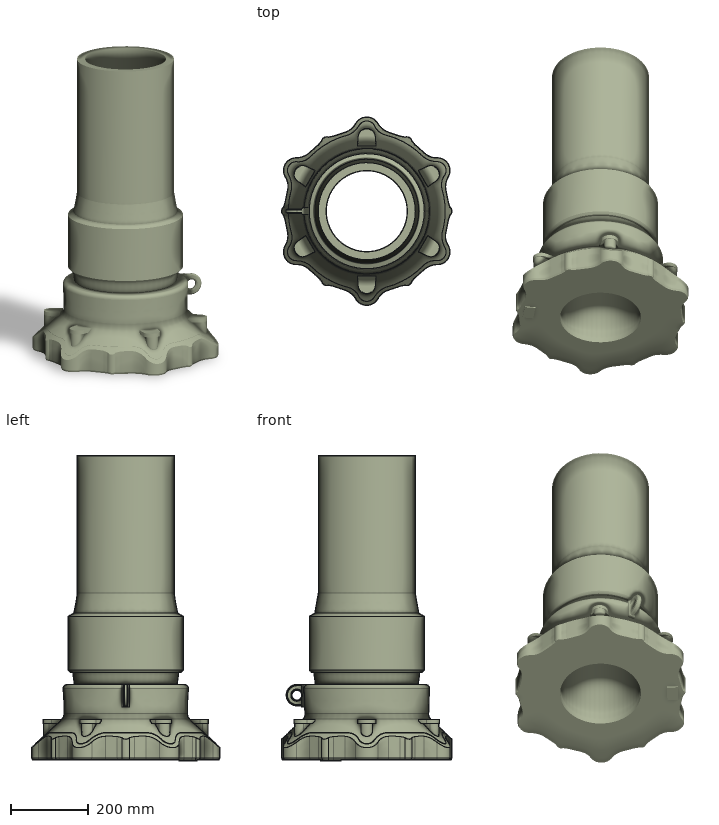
import cadquery as cq
import math

TOTAL_HEIGHT = 786.0
BORE_DIAMETER = 208.0
LOBE_COUNT = 6
LOBE_PITCH = 360.0 / LOBE_COUNT

PIPE_RADIUS = 250.0 / 2
PIPE_TAPER_TOP = 432.0
PIPE_TAPER_RADIUS = 268.0 / 2
PIPE_TAPER_BOTTOM = 380.5
SLEEVE_RADIUS = 296.5 / 2
SLEEVE_SHOULDER = 372.0
SLEEVE_CHAMFER_TOP = 233.5
SLEEVE_BOTTOM = 228.0
SLEEVE_CHAMFER = SLEEVE_CHAMFER_TOP - SLEEVE_BOTTOM
NECK_TOP_RADIUS = 137.0
NECK_BOTTOM_RADIUS = 266.0 / 2
NECK_CHAMFER = 1.5

COLLAR_TOP = 196.5
COLLAR_TOP_RADIUS = 162.0
COLLAR_ROUNDING = 10.0
COLLAR_BOTTOM = 122.0
COLLAR_BOTTOM_RADIUS = 159.5
FOOT_ARC_MIDDLE = (160.0, 114.0)

FLANGE_BOTTOM = 2.0
CONE_INNER_RADIUS = 164.0
CONE_INNER_Z = 108.0
TIP_RADIUS = 485.0 / 2
TIP_Z = 34.5
RIM_STEP = 1.0
RIM_CHAMFER_HEIGHT = 5.0
RIM_CHAMFER_WIDTH = 2.0

KNOB_RADIUS = 439.0 / 2
KNOB_EDGE = (215.0, 10.0)
FLAT_START = (211.0, 22.0)
FLAT_END = (204.5, 53.0)

LOBE_ROUNDING = 33.0
LOBE_CENTER = TIP_RADIUS - LOBE_ROUNDING
LOBE_HALF_WIDTH = 29.0
CAP_RADIUS = 202.0
CAP_LOBE_ROUNDING = 23.0
CAP_LOBE_HALF_WIDTH = 20.0
CAP_BLEND_START = 49.0

FINGER_TOP = 107.0
FINGER_HEAD_BOTTOM = 97.0
FINGER_HEAD_REACH = 213.0
FINGER_HEAD_HALF_WIDTH = 22.0
FINGER_HEAD_ROOT = 167.5
FINGER_HEAD_ROOT_HALF_WIDTH = 24.0
FINGER_STEM_REACH = 212.0
FINGER_STEM_HALF_WIDTH = 15.0
FINGER_STEM_ROOT = 157.0
FINGER_BASE_Z = 39.0

EYE_X = -180.0
EYE_RADIUS = 27.5
EYE_Z = COLLAR_TOP - EYE_RADIUS
EYE_HOLE_RADIUS = 12.5
EYE_THICKNESS = 12.0
EYE_CHAMFER = 3.0
EYE_FOOT_WIDTH = 18.0
EYE_FOOT_BOTTOM = 138.0
EYE_FOOT_X = -167.5
EYE_ROOT_X = -145.5

PAD_ANGLE = 240.0
PAD_RADIUS = 185.5
PAD_LENGTH = 27.5
PAD_WIDTH = 44.0


def turned(point, angle):
    """Rotate a point about the origin by an angle in degrees."""
    a = math.radians(angle)
    x, y = point
    return (x * math.cos(a) - y * math.sin(a), x * math.sin(a) + y * math.cos(a))


def mirrored(point):
    return (point[0], -point[1])


def point_on_lobe(center, rounding, half_width):
    """Point on the lobe arc at a given sideways distance from the lobe axis."""
    return (center + math.sqrt(rounding**2 - half_width**2), half_width)


def revolved(points):
    return cq.Workplane("XZ").polyline(points).close().revolve(360, (0, 0), (0, 1))


def pipe_and_sleeve():
    return revolved([
        (0, SLEEVE_BOTTOM),
        (SLEEVE_RADIUS - SLEEVE_CHAMFER, SLEEVE_BOTTOM),
        (SLEEVE_RADIUS, SLEEVE_CHAMFER_TOP),
        (SLEEVE_RADIUS, SLEEVE_SHOULDER),
        (PIPE_TAPER_RADIUS, PIPE_TAPER_BOTTOM),
        (PIPE_RADIUS, PIPE_TAPER_TOP),
        (PIPE_RADIUS, TOTAL_HEIGHT),
        (0, TOTAL_HEIGHT),
    ])


def neck():
    return revolved([
        (0, COLLAR_TOP),
        (NECK_BOTTOM_RADIUS - NECK_CHAMFER, COLLAR_TOP),
        (NECK_BOTTOM_RADIUS, COLLAR_TOP + NECK_CHAMFER),
        (NECK_TOP_RADIUS, SLEEVE_BOTTOM),
        (0, SLEEVE_BOTTOM),
    ])


def collar():
    profile = (
        cq.Workplane("XZ")
        .moveTo(0, FLANGE_BOTTOM)
        .lineTo(CONE_INNER_RADIUS, FLANGE_BOTTOM)
        .lineTo(CONE_INNER_RADIUS, CONE_INNER_Z)
        .threePointArc(FOOT_ARC_MIDDLE, (COLLAR_BOTTOM_RADIUS, COLLAR_BOTTOM))
        .lineTo(COLLAR_TOP_RADIUS, COLLAR_TOP)
        .lineTo(0, COLLAR_TOP)
        .close()
    )
    body = profile.revolve(360, (0, 0), (0, 1))
    return body.faces(">Z").edges().fillet(COLLAR_ROUNDING)


def cone(drop):
    """Conical body whose top face is the handwheel cone, lowered by drop."""
    return revolved([
        (0, FLANGE_BOTTOM),
        (TIP_RADIUS, FLANGE_BOTTOM),
        (TIP_RADIUS, TIP_Z - drop),
        (CONE_INNER_RADIUS, CONE_INNER_Z - drop),
        (0, CONE_INNER_Z - drop),
    ])


def rim_outline():
    """Six lobes with a small knob midway between each two of them."""
    lobe_edge = point_on_lobe(LOBE_CENTER, LOBE_ROUNDING, LOBE_HALF_WIDTH)
    outline = cq.Workplane("XY", origin=(0, 0, FLANGE_BOTTOM)).moveTo(*mirrored(KNOB_EDGE))
    for i in range(LOBE_COUNT):
        knob = i * LOBE_PITCH
        lobe = knob + LOBE_PITCH / 2
        next_knob = knob + LOBE_PITCH
        outline = (
            outline
            .threePointArc(turned((KNOB_RADIUS, 0), knob), turned(KNOB_EDGE, knob))
            .lineTo(*turned(FLAT_START, knob))
            .lineTo(*turned(FLAT_END, knob))
            .tangentArcPoint(turned(mirrored(lobe_edge), lobe), relative=False)
            .threePointArc(turned((TIP_RADIUS, 0), lobe), turned(lobe_edge, lobe))
            .tangentArcPoint(turned(mirrored(FLAT_END), next_knob), relative=False)
            .lineTo(*turned(mirrored(FLAT_START), next_knob))
            .lineTo(*turned(mirrored(KNOB_EDGE), next_knob))
        )
    return outline.close()


def cap_outline():
    """Round cap that reaches out along each lobe."""
    lobe_edge = point_on_lobe(LOBE_CENTER, CAP_LOBE_ROUNDING, CAP_LOBE_HALF_WIDTH)
    lobe_tip = (LOBE_CENTER + CAP_LOBE_ROUNDING, 0)
    blend = point_on_lobe(0, CAP_RADIUS, CAP_BLEND_START)
    start = turned(blend, -LOBE_PITCH / 2)
    outline = cq.Workplane("XY", origin=(0, 0, FLANGE_BOTTOM)).moveTo(*start)
    for i in range(LOBE_COUNT):
        knob = i * LOBE_PITCH
        lobe = knob + LOBE_PITCH / 2
        outline = (
            outline
            .threePointArc(turned((CAP_RADIUS, 0), knob), turned(mirrored(blend), lobe))
            .tangentArcPoint(turned(mirrored(lobe_edge), lobe), relative=False)
            .threePointArc(turned(lobe_tip, lobe), turned(lobe_edge, lobe))
            .tangentArcPoint(turned(blend, lobe), relative=False)
        )
    return outline.close()


def handwheel():
    rim = rim_outline().extrude(CONE_INNER_Z)
    rim = rim.faces("<Z").edges().chamfer(RIM_CHAMFER_HEIGHT, RIM_CHAMFER_WIDTH)
    cap = cap_outline().extrude(CONE_INNER_Z)
    return rim.intersect(cone(RIM_STEP)).union(cap.intersect(cone(0)))


def finger_outline(root, root_half_width, reach, half_width):
    """Outline of a radial bar along +X with a rounded outer end."""
    end = reach - half_width
    return (
        cq.Workplane("XY")
        .moveTo(root, -root_half_width)
        .lineTo(end, -half_width)
        .threePointArc((reach, 0), (end, half_width))
        .lineTo(root, root_half_width)
        .close()
    )


def finger():
    head = finger_outline(
        FINGER_HEAD_ROOT, FINGER_HEAD_ROOT_HALF_WIDTH, FINGER_HEAD_REACH, FINGER_HEAD_HALF_WIDTH
    ).extrude(FINGER_TOP - FINGER_HEAD_BOTTOM)
    stem = finger_outline(
        FINGER_STEM_ROOT, FINGER_STEM_HALF_WIDTH, FINGER_STEM_REACH, FINGER_STEM_HALF_WIDTH
    ).extrude(FINGER_HEAD_BOTTOM - FINGER_BASE_Z)
    head = head.translate((0, 0, FINGER_HEAD_BOTTOM))
    return head.union(stem.translate((0, 0, FINGER_BASE_Z)))


def eye_lug():
    tongue_length = EYE_ROOT_X - EYE_X
    center_plane = cq.Workplane("XZ", origin=(EYE_X, EYE_THICKNESS / 2, EYE_Z))
    plate = center_plane.circle(EYE_RADIUS).extrude(EYE_THICKNESS)
    tongue = (
        center_plane.center(tongue_length / 2, 0)
        .rect(tongue_length, 2 * EYE_RADIUS)
        .extrude(EYE_THICKNESS)
    )
    plate = plate.union(tongue).cut(center_plane.circle(EYE_HOLE_RADIUS).extrude(EYE_THICKNESS))
    plate = plate.faces("<Y or >Y").edges().chamfer(EYE_CHAMFER)
    foot_length = EYE_ROOT_X - EYE_FOOT_X
    foot_height = COLLAR_TOP - EYE_FOOT_BOTTOM
    foot = cq.Workplane("XY").box(foot_length, EYE_FOOT_WIDTH, foot_height)
    foot = foot.edges("|Z and <X").chamfer(EYE_CHAMFER)
    foot = foot.translate((EYE_FOOT_X + foot_length / 2, 0, EYE_FOOT_BOTTOM + foot_height / 2))
    return plate.union(foot)


def stop_pad():
    pad = cq.Workplane("XY", origin=(PAD_RADIUS, 0, 0)).rect(PAD_LENGTH, PAD_WIDTH)
    return pad.extrude(2 * FLANGE_BOTTOM).rotate((0, 0, 0), (0, 0, 1), PAD_ANGLE)


result = pipe_and_sleeve().union(neck()).union(collar()).union(handwheel())
for i in range(LOBE_COUNT):
    lobe_angle = (i + 0.5) * LOBE_PITCH
    result = result.union(finger().rotate((0, 0, 0), (0, 0, 1), lobe_angle))
result = result.union(eye_lug()).union(stop_pad())
result = result.cut(cq.Workplane("XY").circle(BORE_DIAMETER / 2).extrude(TOTAL_HEIGHT))